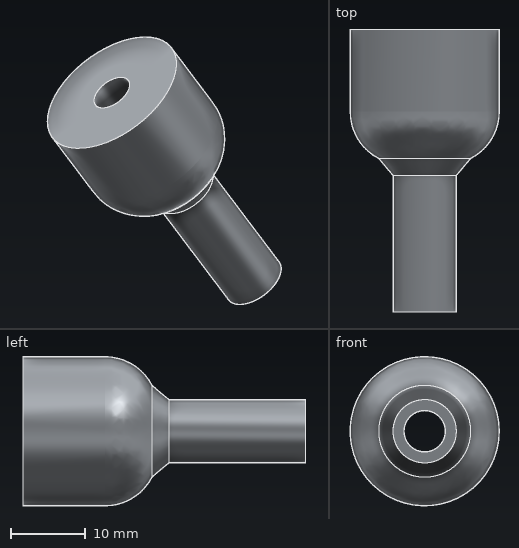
import cadquery as cq
import math

total_length = 37.9
body_radius = 20.0 / 2
stem_radius = 8.5 / 2
bore_radius = 5.5 / 2
neck_radius = 12.3 / 2
stem_length = 18.3
cone_length = 2.27
shoulder_length = 6.3

tip_y = -total_length / 2
cone_y = tip_y + stem_length
neck_y = cone_y + cone_length
body_y = neck_y + shoulder_length
end_y = total_length / 2

shoulder_drop = body_radius - neck_radius
shoulder_radius = (shoulder_drop**2 + shoulder_length**2) / (2 * shoulder_drop)
half_sweep = math.asin(shoulder_length / shoulder_radius) / 2
shoulder_mid = (
    body_radius - shoulder_radius * (1 - math.cos(half_sweep)),
    body_y - shoulder_radius * math.sin(half_sweep),
)

result = (
    cq.Workplane("XY")
    .moveTo(bore_radius, tip_y)
    .lineTo(stem_radius, tip_y)
    .lineTo(stem_radius, cone_y)
    .lineTo(neck_radius, neck_y)
    .threePointArc(shoulder_mid, (body_radius, body_y))
    .lineTo(body_radius, end_y)
    .lineTo(bore_radius, end_y)
    .close()
    .revolve(360, (0, 0, 0), (0, 1, 0))
)